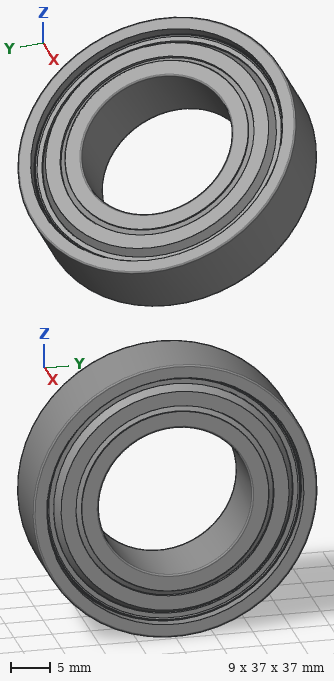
import cadquery as cq
import math

width = 9.0
outer_radius = 37.0 / 2
bore_radius = 20.0 / 2
edge_fillet = 0.2

shallow_slope = math.tan(math.radians(30))
steep_slope = math.tan(math.radians(60))

inner_land_radius = 12.2
inner_step_depth = 0.2

shield_bore_radius = 12.9
shield_depth = 0.2
shield_flat_radius = 14.85
shield_foot_radius = 15.6

lip_foot_radius = 16.25
lip_inner_radius = 16.43
lip_outer_radius = 16.55
lip_depth = 1.0
seat_radius = 16.75

inner_bevel_depth = inner_step_depth + (shield_bore_radius - inner_land_radius) * shallow_slope
shield_foot_depth = shield_depth + (shield_foot_radius - shield_flat_radius) * steep_slope
lip_foot_depth = lip_depth + (lip_inner_radius - lip_foot_radius) * shallow_slope
seat_depth = lip_depth + (seat_radius - lip_outer_radius) * steep_slope


def face_profile():
    """Points (radius, depth below the end face) from the bore edge out to the rim edge."""
    return [
        (bore_radius, 0),
        (inner_land_radius, 0),
        (inner_land_radius, inner_step_depth),
        (shield_bore_radius, inner_bevel_depth),
        (shield_bore_radius, shield_depth),
        (shield_flat_radius, shield_depth),
        (shield_foot_radius, shield_foot_depth),
        (shield_foot_radius, lip_foot_depth),
        (lip_foot_radius, lip_foot_depth),
        (lip_inner_radius, lip_depth),
        (lip_outer_radius, lip_depth),
        (seat_radius, seat_depth),
        (seat_radius, 0),
        (outer_radius, 0),
    ]


def revolve_section():
    """Revolve the half section, the same on both end faces, about the X axis."""
    left_face = [(depth - width / 2, radius) for radius, depth in face_profile()]
    right_face = [(-x, radius) for x, radius in reversed(left_face)]
    section = cq.Workplane("XZ").polyline(left_face + right_face).close()
    return section.revolve(360, (0, 0, 0), (1, 0, 0))


def round_edges(body):
    """Round both edges of the rim (largest circles) and of the bore (smallest circles)."""
    largest = cq.selectors.RadiusNthSelector(-1)
    smallest = cq.selectors.RadiusNthSelector(0)
    return body.edges(largest + smallest).fillet(edge_fillet)


result = round_edges(revolve_section())